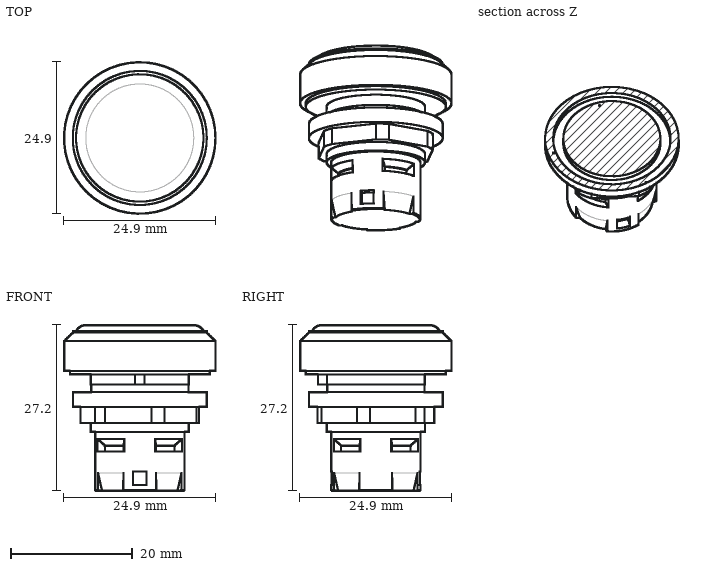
import cadquery as cq
import math

TOTAL_HEIGHT = 27.2

BEZEL_DIAMETER = 24.9
BEZEL_BOTTOM_Z = 19.7
BEZEL_EDGE_Z = 24.55
RIM_DIAMETER = 22.0
RIM_BOTTOM_Z = 25.95
RIM_TOP_Z = 26.22
BUTTON_DIAMETER = 20.92
BUTTON_FLAT_DIAMETER = 17.73
SEAL_DIAMETER = 23.0
SEAL_BOTTOM_Z = 19.12

COLLAR_DIAMETER = 16.15
COLLAR_BOTTOM_Z = 17.4
NECK_DIAMETER = 16.02
THREAD_DIAMETER = 16.15
THREAD_BOTTOM_Z = 9.68

LUG_WIDTH = 1.6
LUG_REACH = 9.52

WASHER_DIAMETER = 22.0
WASHER_TOP_Z = 16.2
WASHER_RECESS_DIAMETER = 19.2
WASHER_RECESS_DEPTH = 1.8
NUT_TOP_Z = 13.8
NUT_BOTTOM_Z = 11.12
NUT_ACROSS_FLATS = 17.95
NUT_CORNER_DIAMETER = 19.58
NUT_TURN = 17.9

BODY_DIAMETER = 14.7
BODY_CHAMFER = 0.15
QUADRANT_ANGLES = (0, 90, 180, 270)

WALL_DRAFT = 8.5
WINDOW_TOP_Z = 8.5
WINDOW_BOTTOM_Z = 6.45
WINDOW_INNER_TOP_Z = 7.4
WINDOW_LIP_Z = 7.48
WINDOW_LIP_RADIUS = 6.35
WINDOW_INNER_RADIUS = 6.28
WINDOW_WALL_OFFSET = 2.5
NOTCH_TOP_Z = 2.96
NOTCH_BOTTOM_RADIUS = 6.77
NOTCH_WALL_OFFSET = 2.67

POCKET_SIZE = 2.23
POCKET_BOTTOM_Z = 0.92
POCKET_FLOOR_Y = 5.82

BODY_RADIUS = BODY_DIAMETER / 2
CUT_RADIUS = BODY_RADIUS + 0.27


def cylinder(diameter, bottom_z, top_z):
    """Solid cylinder on the Z axis between two heights."""
    return cq.Workplane("XY").workplane(offset=bottom_z).circle(diameter / 2).extrude(top_z - bottom_z)


def revolve_profile(profile):
    """Turn a closed profile, drawn as radius and height, around the Z axis."""
    return profile.close().revolve(360, (0, 0, 0), (0, 1, 0))


def make_head():
    """Bezel with a sloped shoulder and rim, and the button rounded tangent to its flat top."""
    flat_radius = BUTTON_FLAT_DIAMETER / 2
    run = BUTTON_DIAMETER / 2 - flat_radius
    rise = TOTAL_HEIGHT - RIM_TOP_Z
    round_radius = (run**2 + rise**2) / (2 * rise)
    half_sweep = math.asin(run / round_radius) / 2
    round_middle = (
        flat_radius + round_radius * math.sin(half_sweep),
        TOTAL_HEIGHT - round_radius * (1 - math.cos(half_sweep)),
    )
    profile = (
        cq.Workplane("XZ")
        .moveTo(0, SEAL_BOTTOM_Z)
        .lineTo(SEAL_DIAMETER / 2, SEAL_BOTTOM_Z)
        .lineTo(SEAL_DIAMETER / 2, BEZEL_BOTTOM_Z)
        .lineTo(BEZEL_DIAMETER / 2, BEZEL_BOTTOM_Z)
        .lineTo(BEZEL_DIAMETER / 2, BEZEL_EDGE_Z)
        .lineTo(RIM_DIAMETER / 2, RIM_BOTTOM_Z)
        .lineTo(RIM_DIAMETER / 2, RIM_TOP_Z)
        .lineTo(BUTTON_DIAMETER / 2, RIM_TOP_Z)
        .threePointArc(round_middle, (flat_radius, TOTAL_HEIGHT))
        .lineTo(0, TOTAL_HEIGHT)
    )
    return revolve_profile(profile)


def make_neck():
    """Collar under the head, plain neck, and thread below the nut."""
    collar = cylinder(COLLAR_DIAMETER, COLLAR_BOTTOM_Z, SEAL_BOTTOM_Z)
    neck = cylinder(NECK_DIAMETER, NUT_BOTTOM_Z, COLLAR_BOTTOM_Z)
    thread = cylinder(THREAD_DIAMETER, THREAD_BOTTOM_Z, NUT_BOTTOM_Z)
    return collar.union(neck).union(thread)


def make_lug():
    """Rectangular lug running from the axis out past the collar."""
    height = SEAL_BOTTOM_Z - COLLAR_BOTTOM_Z
    return (
        cq.Workplane("XY")
        .workplane(offset=COLLAR_BOTTOM_Z)
        .center(0, -LUG_REACH / 2)
        .rect(LUG_WIDTH, LUG_REACH)
        .extrude(height)
    )


def make_washer():
    """Round washer with a wide recess in its top face."""
    washer = cylinder(WASHER_DIAMETER, NUT_TOP_Z, WASHER_TOP_Z)
    recess = cylinder(WASHER_RECESS_DIAMETER, WASHER_TOP_Z - WASHER_RECESS_DEPTH, WASHER_TOP_Z)
    return washer.cut(recess)


def make_nut():
    """Hexagon whose corners are trimmed by a cylinder."""
    hexagon = (
        cq.Workplane("XY")
        .workplane(offset=NUT_BOTTOM_Z)
        .polygon(6, NUT_ACROSS_FLATS, circumscribed=True)
        .extrude(NUT_TOP_Z - NUT_BOTTOM_Z)
        .rotate((0, 0, 0), (0, 0, 1), NUT_TURN)
    )
    return hexagon.intersect(cylinder(NUT_CORNER_DIAMETER, NUT_BOTTOM_Z, NUT_TOP_Z))


def corner_wedge(wall_offset):
    """Prism on the +X+Y diagonal with leaning side walls.

    Each wall meets the body surface at wall_offset from the X or Y axis.
    """
    slope = math.tan(math.radians(WALL_DRAFT))
    surface_reach = math.sqrt(BODY_RADIUS**2 - wall_offset**2)
    apex = (wall_offset + slope * surface_reach) / (1 + slope)
    outer_offset = wall_offset - slope * (CUT_RADIUS - surface_reach)
    outline = [
        (apex, apex),
        (CUT_RADIUS, outer_offset),
        (CUT_RADIUS, CUT_RADIUS),
        (outer_offset, CUT_RADIUS),
    ]
    return cq.Workplane("XY").polyline(outline).close().extrude(THREAD_BOTTOM_Z)


def window_cutter():
    """Window with a flat sill, a round back wall and a ceiling that slopes down inwards to a small lip."""
    ceiling_slope = (WINDOW_TOP_Z - WINDOW_LIP_Z) / (BODY_RADIUS - WINDOW_LIP_RADIUS)
    outer_top_z = WINDOW_TOP_Z + ceiling_slope * (CUT_RADIUS - BODY_RADIUS)
    profile = (
        cq.Workplane("XZ")
        .moveTo(WINDOW_INNER_RADIUS, WINDOW_BOTTOM_Z)
        .lineTo(CUT_RADIUS, WINDOW_BOTTOM_Z)
        .lineTo(CUT_RADIUS, outer_top_z)
        .lineTo(WINDOW_LIP_RADIUS, WINDOW_LIP_Z)
        .lineTo(WINDOW_LIP_RADIUS, WINDOW_INNER_TOP_Z)
        .lineTo(WINDOW_INNER_RADIUS, WINDOW_INNER_TOP_Z)
    )
    return revolve_profile(profile).intersect(corner_wedge(WINDOW_WALL_OFFSET))


def notch_cutter():
    """Notch whose conical floor runs from the body surface down to a smaller radius at the bottom."""
    profile = (
        cq.Workplane("XZ")
        .moveTo(NOTCH_BOTTOM_RADIUS, 0)
        .lineTo(CUT_RADIUS, 0)
        .lineTo(CUT_RADIUS, NOTCH_TOP_Z)
        .lineTo(BODY_RADIUS, NOTCH_TOP_Z)
    )
    return revolve_profile(profile).intersect(corner_wedge(NOTCH_WALL_OFFSET))


def pocket_cutter(side):
    """Square blind pocket on the +Y side (side = 1) or the -Y side (side = -1)."""
    depth = CUT_RADIUS - POCKET_FLOOR_Y
    middle_y = side * (POCKET_FLOOR_Y + depth / 2)
    middle_z = POCKET_BOTTOM_Z + POCKET_SIZE / 2
    return cq.Workplane("XY").box(POCKET_SIZE, depth, POCKET_SIZE).translate((0, middle_y, middle_z))


def make_body():
    """Lower cylinder with four windows, four bottom notches and two square pockets."""
    body = cylinder(BODY_DIAMETER, 0, THREAD_BOTTOM_Z).faces("<Z").edges().chamfer(BODY_CHAMFER)
    for cutter in (window_cutter(), notch_cutter()):
        for angle in QUADRANT_ANGLES:
            body = body.cut(cutter.rotate((0, 0, 0), (0, 0, 1), angle))
    for side in (-1, 1):
        body = body.cut(pocket_cutter(side))
    return body


result = make_head()
for component in (make_neck(), make_lug(), make_washer(), make_nut(), make_body()):
    result = result.union(component)